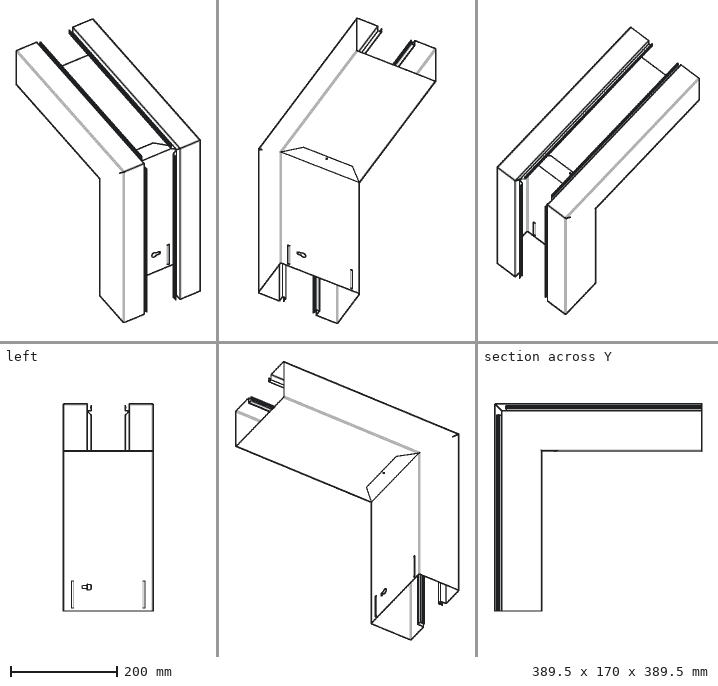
import cadquery as cq
import math

ARM_LENGTH = 300.0
DEPTH = 89.52
WIDTH = 170.0
SHEET = 1.0
BEND_OUTER = 2.5
BEND_INNER = BEND_OUTER - SHEET
CORNER_RADIUS = 2.0
LIP_BEND = 1.8
HOOK_BEND = 2.5

SLOT_HALF = 38.8
HOOK_HALF = 31.0
LEDGE_DROP = 13.7
HOOK_TIP_DROP = 3.6
GROOVE_TOP_DROP = 6.0
GROOVE_BOTTOM_DROP = 8.5
GROOVE_RAMP = 0.8
GROOVE_DEPTH = 0.9
LIP_SETBACK = 14.5

SEAM_GAP = 0.85
SEAM_LEG = 14.3

TAB_LENGTH = 30.0
TAB_HOLE_DIAMETER = 2.6
TAB_HOLE_OFFSET = 25.0

TONGUE_LENGTH = 50.0
TONGUE_WIDTH = 4.0
TONGUE_Y = 67.2
TONGUE_RISE = 31.0
TONGUE_PUSH = 0.8

KEYHOLE_RISE = 45.0
KEYHOLE_Y = 36.3
KEYHOLE_DIAMETER = 10.5
KEYHOLE_NECK_WIDTH = 6.0
KEYHOLE_NECK_END_Y = 49.5

ARM_SPAN = ARM_LENGTH + DEPTH


def along_x(y_min, y_max, z_min, z_max):
    """Bar running the whole length of the horizontal arm."""
    bar = cq.Workplane("XY").box(ARM_SPAN, y_max - y_min, z_max - z_min, centered=False)
    return bar.translate((-ARM_LENGTH, y_min, z_min))


def channel():
    """Rectangular tube with rounded bends, open along the middle of its top."""
    half = WIDTH / 2
    outside = along_x(-half, half, 0, DEPTH).edges("|X").fillet(BEND_OUTER)
    inside = along_x(-half + SHEET, half - SHEET, SHEET, DEPTH - SHEET)
    inside = inside.edges("|X").fillet(BEND_INNER)
    slot = along_x(-SLOT_HALF, SLOT_HALF, DEPTH / 2, DEPTH)
    return outside.cut(inside).cut(slot)


def hook():
    """Upturned, grooved edge of the +Y lip."""
    groove_y = HOOK_HALF + GROOVE_DEPTH
    face = [
        (HOOK_HALF, DEPTH - LEDGE_DROP),
        (HOOK_HALF, DEPTH - GROOVE_BOTTOM_DROP - GROOVE_RAMP),
        (groove_y, DEPTH - GROOVE_BOTTOM_DROP),
        (groove_y, DEPTH - GROOVE_TOP_DROP),
        (HOOK_HALF, DEPTH - GROOVE_TOP_DROP + GROOVE_RAMP),
        (HOOK_HALF, DEPTH - HOOK_TIP_DROP),
    ]
    back = [(y + SHEET, z) for y, z in reversed(face)]
    strip = cq.Workplane("YZ").polyline(face + back).close().extrude(ARM_SPAN)
    return strip.translate((-ARM_LENGTH, 0, 0))


def lip():
    """Lip on the +Y side of the slot: drop, ledge and hook, cut off at 45 degrees."""
    ledge_bottom = DEPTH - LEDGE_DROP
    drop = along_x(SLOT_HALF, SLOT_HALF + SHEET, ledge_bottom, DEPTH)
    ledge = along_x(HOOK_HALF, SLOT_HALF + SHEET, ledge_bottom, ledge_bottom + SHEET)
    stop = DEPTH - LIP_SETBACK
    end_cut = (
        cq.Workplane("XY")
        .polyline([(stop, SLOT_HALF), (stop - SLOT_HALF, 0), (DEPTH, 0), (DEPTH, SLOT_HALF)])
        .close()
        .extrude(DEPTH)
    )
    folded = drop.union(ledge).union(hook())
    mid_length = -ARM_LENGTH + ARM_SPAN / 2
    bend_edge = cq.selectors.NearestToPointSelector((mid_length, HOOK_HALF, ledge_bottom))
    folded = folded.edges("|X").edges(bend_edge).fillet(HOOK_BEND)
    return folded.cut(end_cut)


def horizontal_arm():
    """Arm along -X, mitred on the plane X = Z."""
    right_lip = lip()
    arm = channel().union(right_lip).union(right_lip.mirror("XZ"))
    for side in (-1, 1):
        edge = side * SLOT_HALF
        corner = cq.selectors.BoxSelector(
            (-ARM_SPAN, edge - SHEET / 2, DEPTH - SHEET / 2),
            (ARM_SPAN, edge + SHEET / 2, DEPTH + SHEET / 2),
        )
        arm = arm.edges("|X").edges(corner).fillet(LIP_BEND)
    beyond_mitre = (
        cq.Workplane("XZ")
        .polyline([(-SHEET, -SHEET), (2 * DEPTH, -SHEET), (2 * DEPTH, 2 * DEPTH)])
        .close()
        .extrude(WIDTH, both=True)
    )
    return arm.cut(beyond_mitre)


def swap_x_z(body):
    """Reflect a body in the mitre plane X = Z."""
    mitre_normal = cq.Vector(1, 0, -1)
    return body.mirror(mitre_normal)


def rounded_corner(body):
    """Round the edge where the two slotted faces meet."""
    limit = cq.Workplane("XY").box(ARM_SPAN, WIDTH, ARM_SPAN)
    limit = limit.edges(">X and >Z").fillet(CORNER_RADIUS)
    centre = DEPTH - ARM_SPAN / 2
    return body.intersect(limit.translate((centre, 0, centre)))


def seam_gap():
    """Thin slit through both side walls along the outer end of the mitre."""
    start = DEPTH - SEAM_LEG
    end = DEPTH - BEND_OUTER
    half = SEAM_GAP / 2 * math.sqrt(0.5)
    return (
        cq.Workplane("XZ")
        .polyline([(start - half, start + half), (end - half, end + half),
                   (end + half, end - half), (start + half, start - half)])
        .close()
        .extrude(WIDTH, both=True)
    )


def overlap_tab():
    """Tab lying on the base of the horizontal arm, with 45 degree corners."""
    root_half = WIDTH / 2 - BEND_OUTER
    tip_half = root_half - TAB_LENGTH
    return (
        cq.Workplane("XY", origin=(0, 0, SHEET))
        .polyline([(SHEET, -root_half), (0, -root_half), (-TAB_LENGTH, -tip_half),
                   (-TAB_LENGTH, tip_half), (0, root_half), (SHEET, root_half)])
        .close()
        .extrude(SHEET)
    )


def tab_hole():
    """Rivet hole through the tab and the base beneath it."""
    hole = cq.Workplane("XY").center(-TAB_HOLE_OFFSET, 0).circle(TAB_HOLE_DIAMETER / 2)
    return hole.extrude(2 * SHEET)


def tongue_prism(outline):
    """Extrude an X-Y outline over the height of the tongues, on both sides of the base."""
    bottom = -ARM_LENGTH + TONGUE_RISE - TONGUE_LENGTH / 2
    prism = cq.Workplane("XY", origin=(0, 0, bottom)).polyline(outline).close().extrude(TONGUE_LENGTH)
    return prism.union(prism.mirror("XZ"))


def push_in_tongues(body):
    """Tilt two narrow strips of the base inwards about their inner edges."""
    hinge_y = TONGUE_Y - TONGUE_WIDTH / 2
    free_y = TONGUE_Y + TONGUE_WIDTH / 2
    dent = [(0, hinge_y), (0, free_y), (TONGUE_PUSH, free_y)]
    bulge = [(SHEET, hinge_y), (SHEET, free_y), (SHEET + TONGUE_PUSH, free_y)]
    return body.cut(tongue_prism(dent)).union(tongue_prism(bulge))


def keyhole():
    """Round eye with a narrower neck reaching towards the +Y side."""
    axis = cq.Workplane("YZ").center(KEYHOLE_Y, -ARM_LENGTH + KEYHOLE_RISE)
    eye = axis.circle(KEYHOLE_DIAMETER / 2).extrude(SHEET)
    neck_length = KEYHOLE_NECK_END_Y - KEYHOLE_Y + KEYHOLE_NECK_WIDTH / 2
    neck_shift = (neck_length - KEYHOLE_NECK_WIDTH) / 2
    neck = axis.center(neck_shift, 0).slot2D(neck_length, KEYHOLE_NECK_WIDTH).extrude(SHEET)
    return eye.union(neck)


arm = horizontal_arm()
elbow = rounded_corner(arm.union(swap_x_z(arm)))
elbow = elbow.cut(seam_gap())
elbow = elbow.union(overlap_tab()).cut(tab_hole())
elbow = push_in_tongues(elbow)
result = elbow.cut(keyhole())